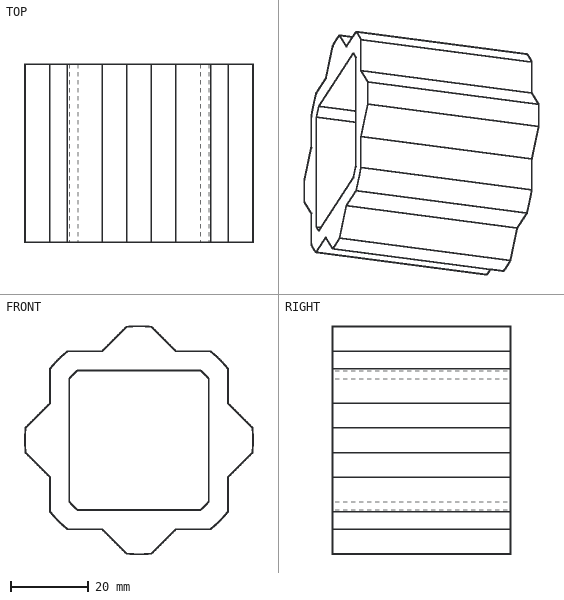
import cadquery as cq

star_side = 46.0
outer_diameter = 59.0
tube_length = 46.0
star_turn = 45.0

bore_side = 36.0
bore_diameter = 48.0


def square_prism(side):
    """Square prism centred on the origin and running along Y."""
    return cq.Workplane("XY").box(side, tube_length, side)


def centred_cylinder(diameter):
    """Cylinder centred on the origin and running along Y."""
    return cq.Workplane("XZ").circle(diameter / 2).extrude(tube_length / 2, both=True)


def star_body():
    """Eight-pointed star prism with all its points rounded to one diameter."""
    upright_square = square_prism(star_side)
    turned_square = square_prism(star_side).rotate((0, 0, 0), (0, 1, 0), star_turn)
    return upright_square.union(turned_square).intersect(centred_cylinder(outer_diameter))


def bore():
    """Square opening with corners trimmed to the bore diameter."""
    return square_prism(bore_side).intersect(centred_cylinder(bore_diameter))


result = star_body().cut(bore())